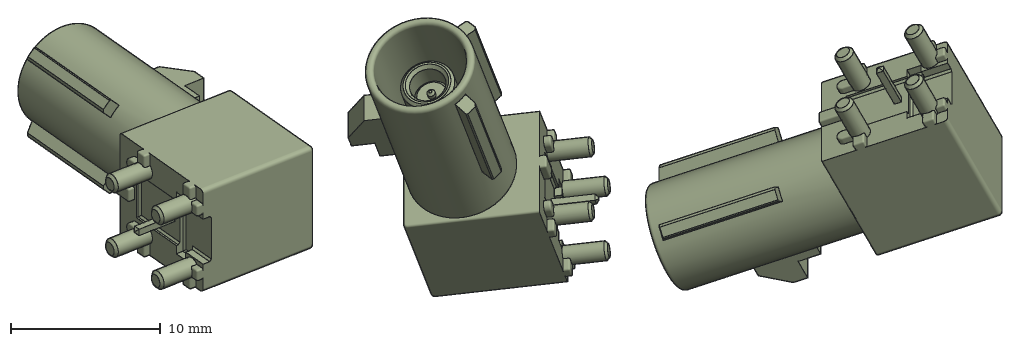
import cadquery as cq
import math


tube_radius = 3.75
tube_wall = 0.6
tube_rim_flat = 0.06
tube_bore_radius = tube_radius - tube_wall

post_radius = 1.85
post_front_x = 2.4
post_edge_chamfer = 0.22
post_bore_radius = 1.24
post_lead_in = 0.24
insulator_front_x = 4.0
insulator_chamfer = 0.2
contact_radius = 0.28
contact_front_x = 3.5
contact_chamfer = 0.18

body_front_x = 13.6
body_back_x = 22.8
body_height = 8.0
body_top_y = 4.0
seat_y = -5.3
front_edge_fillet = 0.15
outer_edge_fillet = 0.3

latch_width = 2.0
latch_front_x = 4.6
latch_back_x = 9.2
latch_peak_start_x = 6.5
latch_peak_end_x = 7.55
latch_top_y = 6.25
latch_nose_y = 4.75
latch_ledge_y = 4.65

rib_width = 1.0
rib_angle = 45
rib_top_radius = 4.75
rib_root_radius = 3.4
rib_front_x = 0.75
rib_front_lean = 0.32
rib_back_x = 9.45
rib_limit_y = -3.58
rib_limit_z = 3.65

pin_pitch = 5.08
pin_first_x = 16.5
pin_radius = 0.675
pin_end_y = -8.35
pin_chamfer = 0.2
signal_width = 0.5
signal_end_y = -8.2
signal_taper = 0.2
signal_tip_width = 0.12

standoff_height = 0.5
standoff_width = 0.85
standoff_fillet = 0.13
round_bar_front_x = 14.9
centre_standoff_width = 1.0
centre_standoff_end_x = 15.2

recess_depth = 0.3
step_depth = 0.7
recess_floor_chamfer = 0.15
recess_front_x = 15.4
recess_half_height = 1.77
step_front_x = 19.83
cross_back_x = 20.87
cross_half_height = 2.42

pin_xs = [pin_first_x, pin_first_x + pin_pitch]
signal_x = pin_first_x + pin_pitch / 2
standoff_y = seat_y - standoff_height
body_half = body_height / 2


def rod(radius, x_start, x_end):
    """Cylinder on the tube axis."""
    return cq.Workplane("YZ", origin=(x_start, 0, 0)).circle(radius).extrude(x_end - x_start)


def block(x_start, x_end, y_low, y_high, z_low, z_high):
    """Axis-aligned box given by its limits."""
    return cq.Workplane("XY").box(
        x_end - x_start, y_high - y_low, z_high - z_low, centered=False
    ).translate((x_start, y_low, z_low))


def seat_plane(y):
    """Plane at height y facing -Y, with local x along X and local y along Z."""
    return cq.Workplane("XZ", origin=(0, y, 0))


def make_body():
    """Block with rounded edges except around the seating face."""
    body = block(body_front_x, body_back_x, seat_y, body_top_y, -body_half, body_half)
    body = body.edges("(|X and >Y) or (>X and (not <Y))").fillet(outer_edge_fillet)
    return body.edges("<X and (not <Y)").fillet(front_edge_fillet)


def make_tube():
    """Hollow cylinder whose mouth is rounded inside and outside, leaving a narrow flat rim."""
    tube = rod(tube_radius, 0, body_front_x).cut(rod(tube_bore_radius, 0, body_front_x))
    return tube.faces("<X").edges().fillet((tube_wall - tube_rim_flat) / 2)


def make_post():
    """Hollow post holding an insulator with the signal contact standing out of it."""
    post = rod(post_radius, post_front_x, body_front_x).faces("<X").edges().chamfer(post_edge_chamfer)
    post = post.cut(rod(post_bore_radius, post_front_x, body_front_x))
    mouth_edge = post.faces("<X").edges(cq.selectors.RadiusNthSelector(0))
    post = mouth_edge.chamfer(post_lead_in)
    insulator = rod(post_bore_radius, insulator_front_x, body_front_x).faces("<X").chamfer(insulator_chamfer)
    contact = rod(contact_radius, contact_front_x, body_front_x).faces("<X").chamfer(contact_chamfer)
    return post.union(insulator).union(contact)


def make_latch():
    """Hooked latch whose flat underside meets the tube along its two long edges."""
    root_y = math.sqrt(tube_radius**2 - (latch_width / 2) ** 2)
    profile = [
        (latch_front_x, root_y),
        (latch_front_x, latch_nose_y),
        (latch_peak_start_x, latch_top_y),
        (latch_peak_end_x, latch_top_y),
        (latch_peak_end_x, latch_ledge_y),
        (latch_back_x, latch_ledge_y),
        (latch_back_x, root_y),
    ]
    return cq.Workplane("XY").polyline(profile).close().extrude(latch_width / 2, both=True)


def make_rib(side):
    """Radial rib; its front end leans back and its outer corners are cut flat by the Y and Z limits."""
    lean_rate = rib_front_lean / (rib_top_radius - tube_radius)
    root_front_x = rib_front_x - lean_rate * (tube_radius - rib_root_radius)
    profile = [
        (root_front_x, -rib_root_radius),
        (rib_front_x + rib_front_lean, -rib_top_radius),
        (rib_back_x, -rib_top_radius),
        (rib_back_x, -rib_root_radius),
    ]
    rib = cq.Workplane("XY").polyline(profile).close().extrude(rib_width / 2, both=True)
    rib = rib.rotate((0, 0, 0), (1, 0, 0), -side * rib_angle)
    return rib.intersect(block(0, body_front_x, rib_limit_y, 0, -rib_limit_z, rib_limit_z))


def pocket(x_start, x_end, half_height, depth):
    """Block sunk into the seating face."""
    return block(x_start, x_end, seat_y, seat_y + depth, -half_height, half_height)


def cut_recesses(body):
    """Shallow recess, and a deeper T-shaped step that runs out through the back of the body."""
    overrun_x = body_back_x + 1
    recess = pocket(recess_front_x, overrun_x, recess_half_height, recess_depth)
    step = pocket(step_front_x, overrun_x, recess_half_height, step_depth)
    step = step.union(pocket(step_front_x, cross_back_x, cross_half_height, step_depth))
    for cavity in (recess, step):
        body = body.cut(cavity.faces(">Y").edges().chamfer(recess_floor_chamfer))
    return body


def softened(standoff):
    """Round every edge that does not lie on the seating face."""
    return standoff.edges("not >Y").fillet(standoff_fillet)


def round_end_bar(x_start, x_end, z):
    """Standoff bar along X with a half-round front end."""
    half = standoff_width / 2
    return (
        seat_plane(seat_y)
        .moveTo(x_end, z - half)
        .lineTo(x_start + half, z - half)
        .threePointArc((x_start, z), (x_start + half, z + half))
        .lineTo(x_end, z + half)
        .close()
        .extrude(standoff_height)
    )


def make_standoffs(pin_x, pin_z):
    """Two standoff bars of one pin: one to the near Z side, one along X."""
    half = standoff_width / 2
    side = math.copysign(1, pin_z)
    z_low, z_high = sorted((pin_z, side * body_half))
    cross = softened(block(pin_x - half, pin_x + half, standoff_y, seat_y, z_low, z_high))
    if pin_x == pin_first_x:
        along = round_end_bar(round_bar_front_x, pin_x, pin_z).faces("<Y").edges().fillet(standoff_fillet)
    else:
        along = softened(block(pin_x, body_back_x, standoff_y, seat_y, pin_z - half, pin_z + half))
    return cross.union(along)


def make_centre_standoff():
    half = centre_standoff_width / 2
    return softened(block(body_front_x, centre_standoff_end_x, standoff_y, seat_y, -half, half))


def make_pin(pin_x, pin_z):
    root_y = seat_y + step_depth
    pin = seat_plane(root_y).center(pin_x, pin_z).circle(pin_radius).extrude(root_y - pin_end_y)
    return pin.faces("<Y").chamfer(pin_chamfer)


def make_signal_pin():
    half = signal_width / 2
    shoulder_y = signal_end_y + signal_taper
    shank = block(signal_x - half, signal_x + half, shoulder_y, seat_y + step_depth, -half, half)
    tip = (
        seat_plane(shoulder_y)
        .center(signal_x, 0)
        .rect(signal_width, signal_width)
        .workplane(offset=signal_taper)
        .rect(signal_tip_width, signal_tip_width)
        .loft(ruled=True)
    )
    return shank.union(tip)


result = cut_recesses(make_body())
result = result.union(make_tube()).union(make_post()).union(make_latch())
for rib_side in (-1, 1):
    result = result.union(make_rib(rib_side))
for terminal_x in pin_xs:
    for terminal_z in (-pin_pitch / 2, pin_pitch / 2):
        result = result.union(make_standoffs(terminal_x, terminal_z))
        result = result.union(make_pin(terminal_x, terminal_z))
result = result.union(make_centre_standoff()).union(make_signal_pin())